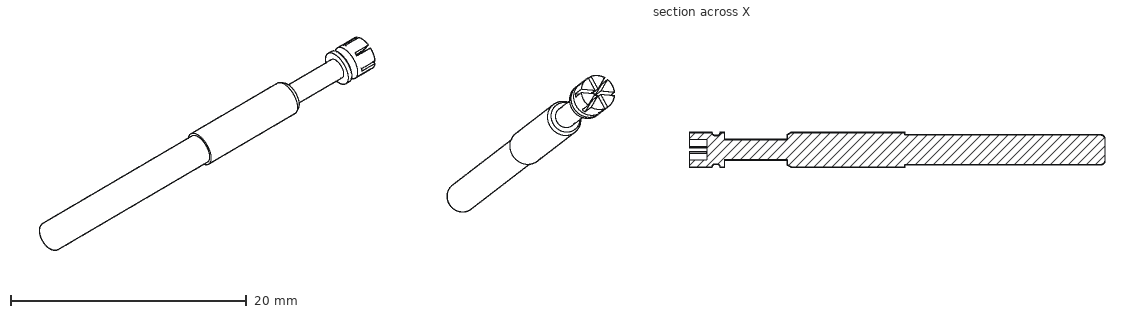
import cadquery as cq


total_length = 35.3
crown_length = 3.0
crown_rim_length = 1.95
groove_length = 0.65
groove_fillet = 0.2
collar_start = 8.3
collar_length = 10.0
collar_chamfer_length = 0.35
shank_end_radius = 0.4

crown_diameter = 3.0
groove_diameter = 2.5
neck_diameter = 1.8
collar_diameter = 3.0
collar_chamfer_depth = 0.2
shank_diameter = 2.6

slot_count = 6
slot_width = 0.3
slot_depth = 1.5

tip_y = total_length / 2
tail_y = tip_y - total_length
crown_base_y = tip_y - crown_length
collar_front_y = tip_y - collar_start
collar_back_y = collar_front_y - collar_length


def turned_section(diameter, start_y, end_y):
    """Round bar about the Y axis between two stations, start_y being the +Y end."""
    return cq.Workplane("XZ", origin=(0, start_y, 0)).circle(diameter / 2).extrude(start_y - end_y)


def make_crown():
    """Crown blank with a groove near its base, filleted where the walls meet the floor."""
    crown_radius = crown_diameter / 2
    groove_radius = groove_diameter / 2
    groove_front_y = tip_y - crown_rim_length
    groove_back_y = groove_front_y - groove_length
    outline = (
        cq.Workplane("XY")
        .moveTo(0, tip_y)
        .lineTo(crown_radius, tip_y)
        .lineTo(crown_radius, groove_front_y)
        .lineTo(groove_radius + groove_fillet, groove_front_y)
        .radiusArc((groove_radius, groove_front_y - groove_fillet), -groove_fillet)
        .lineTo(groove_radius, groove_back_y + groove_fillet)
        .radiusArc((groove_radius + groove_fillet, groove_back_y), -groove_fillet)
        .lineTo(crown_radius, groove_back_y)
        .lineTo(crown_radius, crown_base_y)
        .lineTo(0, crown_base_y)
        .close()
    )
    return outline.revolve(360, (0, 0, 0), (0, 1, 0))


def cut_slots(crown):
    """Cut full-width slots; each one makes two opposite openings in the rim."""
    cut_count = slot_count // 2
    for index in range(cut_count):
        slot = (
            cq.Workplane("XY")
            .box(2 * crown_diameter, slot_depth, slot_width)
            .translate((0, tip_y - slot_depth / 2, 0))
            .rotate((0, 0, 0), (0, 1, 0), index * 180 / cut_count)
        )
        crown = crown.cut(slot)
    return crown


def make_collar():
    """Collar with a steep chamfer around its front edge."""
    collar = turned_section(collar_diameter, collar_front_y, collar_back_y)
    return collar.faces(">Y").chamfer(collar_chamfer_length, collar_chamfer_depth)


def make_shank():
    """Shank with a rounded tail."""
    shank = turned_section(shank_diameter, collar_back_y, tail_y)
    return shank.faces("<Y").edges().fillet(shank_end_radius)


neck = turned_section(neck_diameter, crown_base_y, collar_front_y)
result = cut_slots(make_crown()).union(neck).union(make_collar()).union(make_shank())